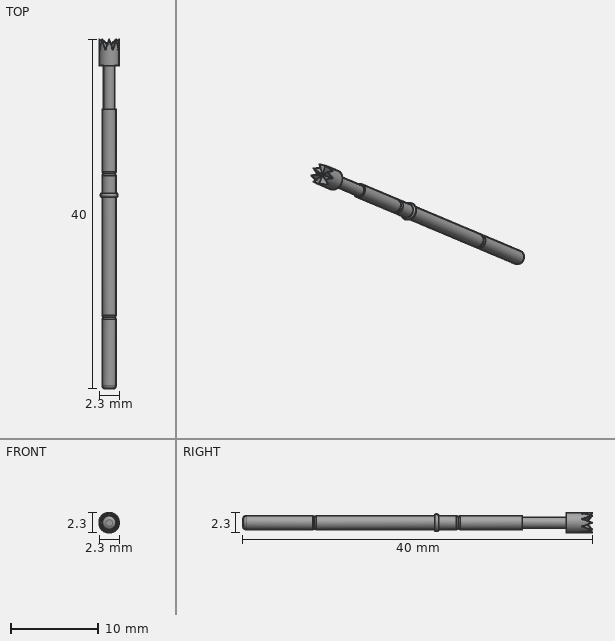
import cadquery as cq
import math

LENGTH = 40.0
TAIL_Y = -LENGTH / 2
CROWN_TIP_Y = LENGTH / 2

BARREL_LENGTH = 32.0
BARREL_RADIUS = 0.8
BARREL_END_Y = TAIL_Y + BARREL_LENGTH
TAIL_FILLET = 0.42

GROOVE_WIDTH = 0.45
GROOVE_DEPTH = 0.12
GROOVE_POSITIONS = (TAIL_Y + 8.2, TAIL_Y + 24.65)

BEAD_Y = TAIL_Y + 22.18
BEAD_RADIUS = 1.0
BEAD_WIDTH = 0.5

STEM_RADIUS = 0.65
CROWN_RADIUS = 2.3 / 2
CROWN_LENGTH = 3.0
CROWN_BASE_Y = CROWN_TIP_Y - CROWN_LENGTH
TOOTH_COUNT = 8
NOTCH_CENTER_DEPTH = 0.7
NOTCH_RIM_DEPTH = 1.2
CUTTER_REACH = 1.5 * CROWN_RADIUS


def cylinder_along_y(radius, start_y, end_y):
    """Solid cylinder on the Y axis between two Y positions."""
    length = end_y - start_y
    return cq.Workplane("XZ", origin=(0, start_y, 0)).circle(radius).extrude(-length)


def make_barrel():
    """Barrel with a rounded tail end."""
    barrel = cylinder_along_y(BARREL_RADIUS, TAIL_Y, BARREL_END_Y)
    return barrel.faces("<Y").edges().fillet(TAIL_FILLET)


def make_groove_cutter(center_y):
    """Ring of triangular section that cuts one crimp groove."""
    half_width = GROOVE_WIDTH / 2
    return (
        cq.Workplane("XY")
        .moveTo(BARREL_RADIUS, center_y - half_width)
        .lineTo(BARREL_RADIUS - GROOVE_DEPTH, center_y)
        .lineTo(BARREL_RADIUS, center_y + half_width)
        .close()
        .revolve(360, (0, 0, 0), (0, 1, 0))
    )


def make_bead():
    """Disc with a half-round rim that stands out of the barrel as a bead."""
    half_width = BEAD_WIDTH / 2
    rim_start_radius = BEAD_RADIUS - half_width
    return (
        cq.Workplane("XY")
        .moveTo(0, BEAD_Y - half_width)
        .lineTo(rim_start_radius, BEAD_Y - half_width)
        .threePointArc((BEAD_RADIUS, BEAD_Y), (rim_start_radius, BEAD_Y + half_width))
        .lineTo(0, BEAD_Y + half_width)
        .close()
        .revolve(360, (0, 0, 0), (0, 1, 0))
    )


def make_notch_cutter():
    """Tapered V-cutter running from the crown axis out along +Z, deeper towards the rim.

    Its flanks keep a constant slope, chosen so that neighbouring notches meet in a
    point at the crown rim.
    """
    half_pitch = math.pi / TOOTH_COUNT
    depth_gain = (NOTCH_RIM_DEPTH - NOTCH_CENTER_DEPTH) / CROWN_RADIUS
    depth_beside_tip = NOTCH_CENTER_DEPTH + depth_gain * CROWN_RADIUS * math.cos(half_pitch)
    half_width_per_depth = CROWN_RADIUS * math.sin(half_pitch) / depth_beside_tip

    def section(depth):
        half_width = depth * half_width_per_depth
        return [(-half_width, CROWN_TIP_Y), (0, CROWN_TIP_Y - depth), (half_width, CROWN_TIP_Y)]

    return (
        cq.Workplane("XY")
        .polyline(section(NOTCH_CENTER_DEPTH))
        .close()
        .workplane(offset=CUTTER_REACH)
        .polyline(section(NOTCH_CENTER_DEPTH + depth_gain * CUTTER_REACH))
        .close()
        .loft(ruled=True)
    )


def make_crown():
    """Crown with a ring of pointed teeth left between radial notches."""
    crown = cylinder_along_y(CROWN_RADIUS, CROWN_BASE_Y, CROWN_TIP_Y)
    notch_cutter = make_notch_cutter()
    pitch_angle = 360 / TOOTH_COUNT
    for index in range(TOOTH_COUNT):
        angle = (index + 0.5) * pitch_angle
        crown = crown.cut(notch_cutter.rotate((0, 0, 0), (0, 1, 0), angle))
    return crown


barrel = make_barrel().union(make_bead())
for groove_y in GROOVE_POSITIONS:
    barrel = barrel.cut(make_groove_cutter(groove_y))

stem = cylinder_along_y(STEM_RADIUS, BARREL_END_Y, CROWN_BASE_Y)
result = barrel.union(stem).union(make_crown())